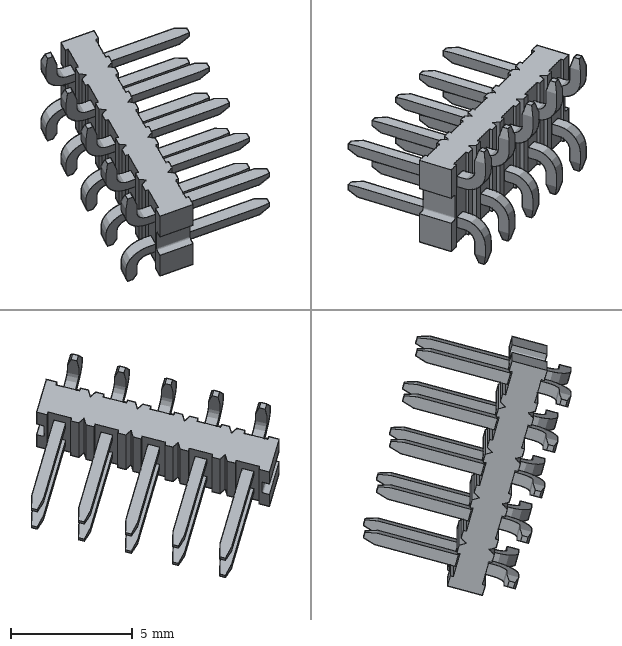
import cadquery as cq


pitch = 2.0
pins_per_row = 5
pin_width = pitch / 4
tip_width = pin_width / 2
pin_columns = [(i - (pins_per_row - 1) / 2) * pitch for i in range(pins_per_row)]
row_height = pitch / 2

body_length = 9.9
body_depth = 1.49
body_height = 2 * pitch

channel_width = pitch / 2
channel_depth = 0.13

groove_width = 0.31
groove_depth = 0.26

notch_depth = 0.32
notch_height = 1.23
notch_radius = 0.1

straight_reach = 3.8
straight_tip = 0.5
leg_reach = 1.21
leg_tip = 0.48
overall_height = 5.5
bend_inner_radius = pin_width
bend_outer_radius = bend_inner_radius + pin_width

front_y = -body_depth / 2
back_y = body_depth / 2


def make_body():
    body = cq.Workplane("XY").box(body_length, body_depth, body_height)

    channels = (
        cq.Workplane("XY")
        .pushPoints([(x, y) for x in pin_columns for y in (front_y, back_y)])
        .rect(channel_width, 2 * channel_depth)
        .extrude(body_height / 2, both=True)
    )
    body = body.cut(channels)

    for left_pin in pin_columns[:-1]:
        groove_x = left_pin + pitch / 2
        for face_y in (front_y, back_y):
            groove = (
                cq.Workplane("XY")
                .center(groove_x, face_y)
                .moveTo(-groove_width / 2, 0)
                .lineTo(0, groove_depth)
                .lineTo(groove_width / 2, 0)
                .lineTo(0, -groove_depth)
                .close()
                .extrude(body_height / 2, both=True)
            )
            body = body.cut(groove)

    notches = (
        cq.Workplane("XZ")
        .pushPoints([(-body_length / 2, 0), (body_length / 2, 0)])
        .rect(2 * notch_depth, notch_height)
        .extrude(body_depth / 2, both=True)
        .edges("|Y")
        .fillet(notch_radius)
    )
    return body.cut(notches)


def make_tip(base_plane, length):
    """Square taper that starts on base_plane and points along its normal."""
    return (
        cq.Workplane(base_plane)
        .rect(pin_width, pin_width)
        .workplane(offset=length)
        .rect(tip_width, tip_width)
        .loft(ruled=True)
    )


def make_upper_pin():
    """Pin of the upper row at X = 0, with its front leg bent upwards."""
    pin_bottom = row_height - pin_width / 2
    pin_top = row_height + pin_width / 2
    straight_end = back_y + straight_reach - straight_tip
    leg_outer = front_y - leg_reach
    leg_inner = leg_outer + pin_width
    leg_end = overall_height / 2 - leg_tip
    bend_y = leg_outer + bend_outer_radius
    bend_z = pin_bottom + bend_outer_radius

    shank = (
        cq.Workplane("YZ")
        .moveTo(straight_end, pin_bottom)
        .lineTo(bend_y, pin_bottom)
        .radiusArc((leg_outer, bend_z), bend_outer_radius)
        .lineTo(leg_outer, leg_end)
        .lineTo(leg_inner, leg_end)
        .lineTo(leg_inner, bend_z)
        .radiusArc((bend_y, pin_top), -bend_inner_radius)
        .lineTo(straight_end, pin_top)
        .close()
        .extrude(pin_width / 2, both=True)
    )
    straight_plane = cq.Plane((0, straight_end, row_height), xDir=(1, 0, 0), normal=(0, 1, 0))
    leg_plane = cq.Plane((0, leg_outer + pin_width / 2, leg_end), xDir=(1, 0, 0), normal=(0, 0, 1))
    return shank.union(make_tip(straight_plane, straight_tip)).union(make_tip(leg_plane, leg_tip))


upper_pin = make_upper_pin()
lower_pin = upper_pin.mirror("XY")

result = make_body()
for x in pin_columns:
    for pin in (upper_pin, lower_pin):
        result = result.union(pin.translate((x, 0, 0)))